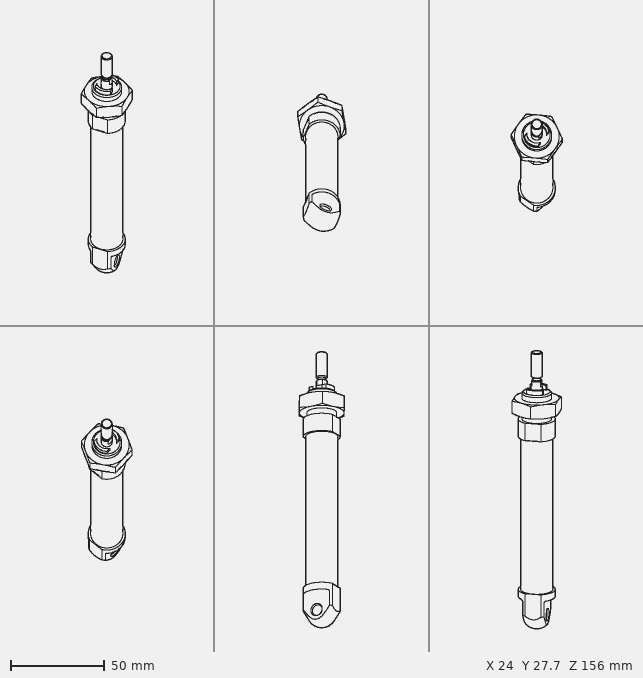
import cadquery as cq
import math


EYE_Z = 8.1
DOME_TOP_Z = 4.0
CONE_TOP_Z = 9.4
FLANGE_BOTTOM_Z = 18.1
REAR_CAP_TOP_Z = 22.0
FRONT_CAP_BOTTOM_Z = 108.4
FRONT_CAP_TOP_Z = 118.2
NUT_BOTTOM_Z = 122.0
NUT_TOP_Z = 130.0
NOSE_TOP_Z = 133.7
LUG_TOP_Z = 136.2
SHANK_TOP_Z = 140.4
THREAD_BOTTOM_Z = 141.6
ROD_TOP_Z = 156.0

TUBE_DIA = 17.3
CAP_DIA = 20.0
CAP_FLATS = 18.0
DOME_RADIUS = 8.0
TANG_WIDTH = 11.9
TANG_FILLET = 1.0
EYE_DIA = 6.0
EYE_CHAMFER = 0.5
EYE_CHAMFER_DEPTH = 1.0
NOSE_DIA = 16.0
NOSE_RIM_DIA = 14.4
LUG_OUTER_DIA = 13.7
LUG_INNER_DIA = 10.6
LUG_WIDTH = 9.0

ROD_DIA = 6.0
NECK_DIA = 4.0
ROD_CHAMFER = 0.5
NECK_SHOULDER = 0.6
WRENCH_FLATS = 4.8
WRENCH_FLAT_BOTTOM_Z = 137.5
RUNOUT_RADIUS = 0.6

NUT_FLATS = 24.0
NUT_CHAMFER_HEIGHT = 0.6


def cylinder(diameter, bottom, top):
    return cq.Workplane("XY").workplane(offset=bottom).circle(diameter / 2).extrude(top - bottom)


def slab(size_x, size_y, bottom, top):
    """Rectangular block centred on the axis."""
    return cq.Workplane("XY").workplane(offset=bottom).rect(size_x, size_y).extrude(top - bottom)


def make_rear_cap():
    """Domed, coned cap with two Y flats and a tang carrying the cross eye."""
    dome_edge = math.sqrt(DOME_RADIUS**2 - (DOME_RADIUS - DOME_TOP_Z) ** 2)
    half_angle = math.asin(dome_edge / DOME_RADIUS) / 2
    dome_mid = (DOME_RADIUS * math.sin(half_angle), DOME_RADIUS * (1 - math.cos(half_angle)))
    cap = (
        cq.Workplane("XZ")
        .moveTo(0, 0)
        .threePointArc(dome_mid, (dome_edge, DOME_TOP_Z))
        .lineTo(CAP_DIA / 2, CONE_TOP_Z)
        .lineTo(CAP_DIA / 2, REAR_CAP_TOP_Z)
        .lineTo(0, REAR_CAP_TOP_Z)
        .close()
        .revolve(360, (0, 0, 0), (0, 1, 0))
    )
    tang = slab(TANG_WIDTH, CAP_DIA, 0, FLANGE_BOTTOM_Z)
    flange = slab(CAP_DIA, CAP_DIA, FLANGE_BOTTOM_Z, REAR_CAP_TOP_Z)
    left_root = cq.NearestToPointSelector((-TANG_WIDTH / 2, 0, FLANGE_BOTTOM_Z))
    right_root = cq.NearestToPointSelector((TANG_WIDTH / 2, 0, FLANGE_BOTTOM_Z))
    envelope = tang.union(flange).edges(left_root + right_root).fillet(TANG_FILLET)
    cap = cap.intersect(envelope).intersect(slab(CAP_DIA, CAP_FLATS, 0, REAR_CAP_TOP_Z))
    eye = cq.Workplane("YZ").center(0, EYE_Z).circle(EYE_DIA / 2).extrude(TANG_WIDTH / 2, both=True)
    cap = cap.cut(eye)
    for side in (-1, 1):
        countersink = cq.Solid.makeCone(
            EYE_DIA / 2 + EYE_CHAMFER,
            EYE_DIA / 2,
            EYE_CHAMFER_DEPTH,
            cq.Vector(side * TANG_WIDTH / 2, 0, EYE_Z),
            cq.Vector(-side, 0, 0),
        )
        cap = cap.cut(cq.Workplane(countersink))
    return cap


def make_front_cap():
    cap = cylinder(CAP_DIA, FRONT_CAP_BOTTOM_Z, FRONT_CAP_TOP_Z)
    return cap.intersect(slab(CAP_DIA, CAP_FLATS, FRONT_CAP_BOTTOM_Z, FRONT_CAP_TOP_Z))


def make_nose():
    """Threaded nose, chamfered at the top, with two curved lugs."""
    chamfer = (NOSE_DIA - NOSE_RIM_DIA) / 2
    nose = cylinder(NOSE_DIA, FRONT_CAP_TOP_Z, NOSE_TOP_Z).faces(">Z").chamfer(chamfer)
    lugs = cylinder(LUG_OUTER_DIA, NOSE_TOP_Z, LUG_TOP_Z)
    lugs = lugs.cut(cylinder(LUG_INNER_DIA, NOSE_TOP_Z, LUG_TOP_Z))
    lugs = lugs.intersect(slab(LUG_WIDTH, LUG_OUTER_DIA, NOSE_TOP_Z, LUG_TOP_Z))
    return nose.union(lugs)


def make_housing():
    tube = cylinder(TUBE_DIA, REAR_CAP_TOP_Z, FRONT_CAP_BOTTOM_Z)
    housing = make_rear_cap().union(tube).union(make_front_cap()).union(make_nose())
    return housing.cut(cylinder(ROD_DIA, FRONT_CAP_BOTTOM_Z, NOSE_TOP_Z))


def make_rod():
    """Piston rod with wrench flats on its shank and a threaded end above a neck."""
    shank = cylinder(ROD_DIA, FRONT_CAP_BOTTOM_Z, SHANK_TOP_Z).faces(">Z").chamfer(ROD_CHAMFER)
    neck = cylinder(NECK_DIA, SHANK_TOP_Z, THREAD_BOTTOM_Z)
    thread = cylinder(ROD_DIA, THREAD_BOTTOM_Z, ROD_TOP_Z)
    thread = thread.faces(">Z").chamfer(ROD_CHAMFER)
    thread = thread.faces("<Z").chamfer(NECK_SHOULDER)
    depth = (ROD_DIA - WRENCH_FLATS) / 2
    runout_height = math.sqrt(RUNOUT_RADIUS**2 - (RUNOUT_RADIUS - depth) ** 2)
    for side in (-1, 1):
        flat = (
            cq.Workplane("XZ")
            .moveTo(side * WRENCH_FLATS / 2, SHANK_TOP_Z)
            .lineTo(side * WRENCH_FLATS / 2, WRENCH_FLAT_BOTTOM_Z)
            .tangentArcPoint((side * ROD_DIA / 2, WRENCH_FLAT_BOTTOM_Z - runout_height), relative=False)
            .lineTo(side * ROD_DIA / 2, SHANK_TOP_Z)
            .close()
            .extrude(ROD_DIA / 2, both=True)
        )
        shank = shank.cut(flat)
    return shank.union(neck).union(thread)


def make_nut():
    """Hexagon nut with corners on the Y axis and both ends turned conical."""
    corner_dia = NUT_FLATS / math.cos(math.pi / 6)
    height = NUT_TOP_Z - NUT_BOTTOM_Z
    nut = (
        cq.Workplane("XY")
        .workplane(offset=NUT_BOTTOM_Z)
        .transformed(rotate=(0, 0, 90))
        .polygon(6, corner_dia)
        .extrude(height)
    )
    turned = cylinder(corner_dia, NUT_BOTTOM_Z, NUT_TOP_Z)
    turned = turned.faces("<Z or >Z").chamfer(NUT_CHAMFER_HEIGHT, (corner_dia - NUT_FLATS) / 2)
    return nut.intersect(turned).cut(cylinder(NOSE_DIA, NUT_BOTTOM_Z, NUT_TOP_Z))


housing = make_housing()
rod = make_rod()
nut = make_nut()

result = cq.Compound.makeCompound([housing.val(), rod.val(), nut.val()])